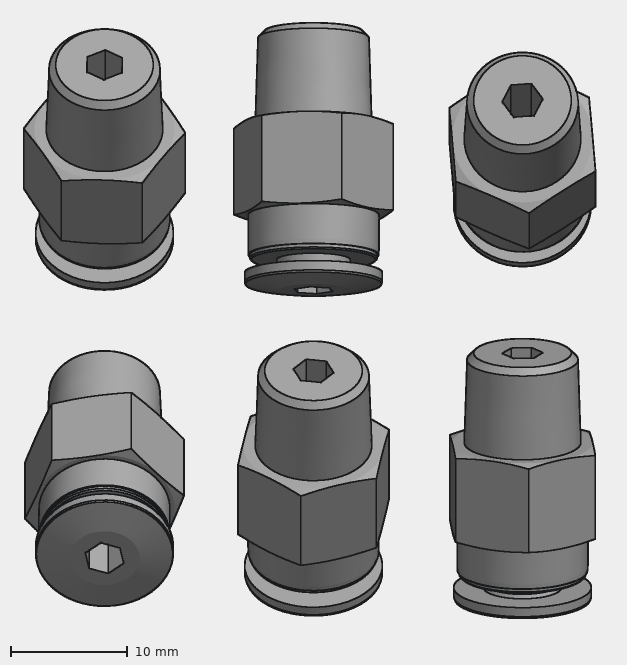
import cadquery as cq
import math

total_height = 22.5
ring_cone_height = 0.55
ring_rim_bottom = 0.72
ring_top = 1.53
collar_bottom = 2.65
collar_step = 3.08
collar_taper_top = 3.5
nut_bottom = 6.52
nut_top = 14.5

ring_diameter = 11.8
ring_edge_diameter = 11.65
ring_face_diameter = 6.0
stem_diameter = 6.3
collar_diameter = 11.2
collar_taper_diameter = 11.15
collar_end_diameter = 10.9
thread_base_diameter = 10.0
thread_end_diameter = 9.52

nut_across_flats = 12.0
nut_chamfer_angle = 15.0
socket_across_flats = 3.02
stem_flare_height = 0.34
stem_flare_width = 0.2
collar_end_chamfer = 0.14
thread_chamfer = 0.58


def corner_diameter(across_flats):
    """Diameter of the circle through the corners of a hexagon."""
    return across_flats / math.cos(math.radians(30))


def turned(profile):
    """Revolve closed (radius, height) points about the Z axis."""
    return cq.Workplane("XZ").polyline(profile).close().revolve(360, (0, 0), (0, 1))


def release_ring():
    """Shallow coned ring on a stem that flares where they meet."""
    stem_radius = stem_diameter / 2
    return turned([
        (0, 0),
        (ring_face_diameter / 2, 0),
        (ring_edge_diameter / 2, ring_cone_height),
        (ring_diameter / 2, ring_rim_bottom),
        (ring_diameter / 2, ring_top),
        (stem_radius + stem_flare_width, ring_top),
        (stem_radius, ring_top + stem_flare_height),
        (stem_radius, nut_bottom),
        (0, nut_bottom),
    ])


def collar():
    """Round collar below the nut, tapered slightly and stepped at its lower end."""
    end_radius = collar_end_diameter / 2
    return turned([
        (0, collar_bottom),
        (end_radius - collar_end_chamfer, collar_bottom),
        (end_radius, collar_bottom + collar_end_chamfer),
        (end_radius, collar_step),
        (collar_taper_diameter / 2, collar_step),
        (collar_diameter / 2, collar_taper_top),
        (collar_diameter / 2, nut_bottom),
        (0, nut_bottom),
    ])


def hex_nut():
    """Hexagon with corners on X, its corners trimmed by a cone at both ends."""
    flat_radius = nut_across_flats / 2
    corner_radius = corner_diameter(nut_across_flats) / 2
    corner_drop = (corner_radius - flat_radius) * math.tan(math.radians(nut_chamfer_angle))
    prism = (
        cq.Workplane("XY", origin=(0, 0, nut_bottom))
        .polygon(6, 2 * corner_radius)
        .extrude(nut_top - nut_bottom)
    )
    envelope = turned([
        (0, nut_bottom),
        (flat_radius, nut_bottom),
        (corner_radius, nut_bottom + corner_drop),
        (corner_radius, nut_top - corner_drop),
        (flat_radius, nut_top),
        (0, nut_top),
    ])
    return prism.intersect(envelope)


def thread_body():
    """Tapered, unthreaded pipe-thread body with a chamfered end."""
    end_radius = thread_end_diameter / 2
    return turned([
        (0, nut_top),
        (thread_base_diameter / 2, nut_top),
        (end_radius, total_height - thread_chamfer),
        (end_radius - thread_chamfer, total_height),
        (0, total_height),
    ])


def hex_socket():
    """Hexagonal through passage with corners on Y."""
    return (
        cq.Workplane("XY")
        .transformed(rotate=(0, 0, 90))
        .polygon(6, corner_diameter(socket_across_flats))
        .extrude(total_height)
    )


body = release_ring().union(collar()).union(hex_nut()).union(thread_body())
result = body.cut(hex_socket())